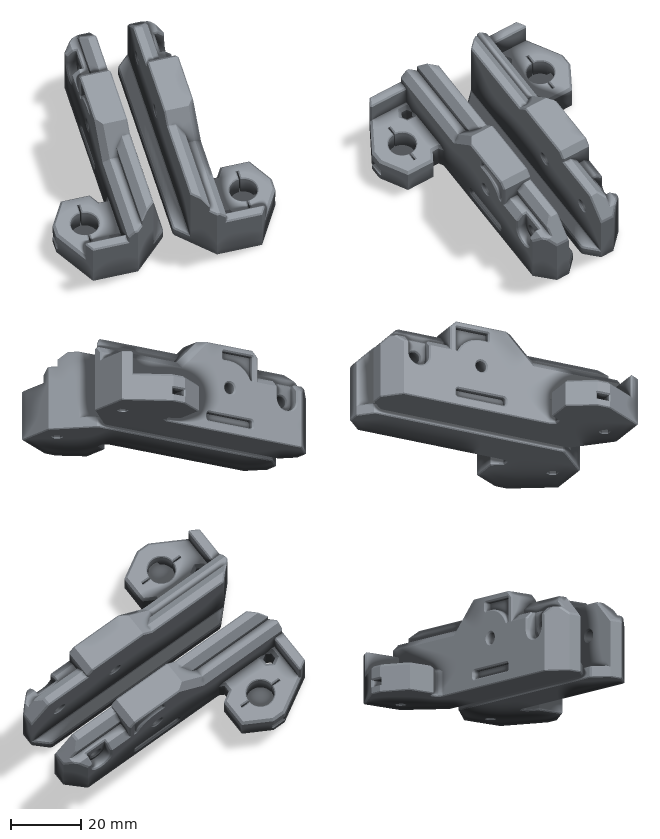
import cadquery as cq
import math


length = 74.8
total_width = 64.85
half_width = total_width / 2
height = 26.0
edge_chamfer = 0.43
bottom_chamfer = 0.3
mouth_angle = 45
tolerance = 0.01

wall_inner = 5.45
wall_outer = 14.6
rail_top = 22.9
rail_slope = 2.1
rail_slope_start = 8.0
rail_step = rail_slope_start + rail_slope
shelf_top = 18.8
shelf_chamfer = 1.95
block_start = 20.05
block_nose = 1.9
block_top_end = 40.1

nose_height = 16.75
nose_depth = 9.6
tail_depth = 11.7

flange_inner = 1.4
flange_height = 3.4

base_height = 8.15
base_chamfer = 0.75
base_start = 50.05
base_side_start = 19.3
base_side_end = 27.9
tip_start = 58.0
tip_end = 61.9
notch_wall = 53.25
notch_low = 15.4
base_root = 13.5
fin_start = 71.65
fin_height = 14.65
fin_corner = 0.6
tan30 = math.tan(math.radians(30))

socket_x = (tip_start + tip_end) / 2
socket_y = 23.5
socket_diameter = 8.1
socket_chamfer = 0.3
socket_floor = 2.0
slit_length = 13.8
slit_width = 0.45
slit_chamfer = 0.4
window_height = 2.0
window_flare = 0.8
window_chamfer = 0.45
hex_x = 68.45
hex_y = 16.4
hex_flats = 3.0
hex_chamfer = 1.0

screw_xs = (10.0, 29.9)
screw_z = 13.55
screw_diameter = 3.4
seat_radius = 3.3
seat_back = 11.5
recess_depth = 2.0
recess_start = 21.9
slot_corner = 0.75
arc_corner = 0.3
slot_end = 37.8
slot_bottom = 2.8
slot_top = 5.2
arc_radius = 8.2
arc_recess_end = 32.25
arc_recess_top = 24.2
arc_recess_bottom = 17.05


def wall_plan():
    """Outline of the upright wall, cut at 45 degrees at the nose and at the tail."""
    nose_cut = wall_outer - nose_depth
    tail_cut = tail_depth - wall_inner
    return (
        cq.Workplane("XY")
        .polyline([
            (0, wall_inner),
            (length - tail_cut, wall_inner),
            (length, tail_depth),
            (length, wall_outer),
            (nose_cut, wall_outer),
            (0, nose_depth),
        ])
        .close()
        .extrude(height)
    )


def wall_side():
    """Side outline that gives the nose its 45 degree slope."""
    return (
        cq.Workplane("XZ")
        .polyline([
            (0, 0),
            (length, 0),
            (length, height),
            (height - nose_height, height),
            (0, nose_height),
        ])
        .close()
        .extrude(-wall_outer)
    )


def rail_section():
    """Stepped section: a low outer shelf and a taller inner rail with a sloped edge."""
    return (
        cq.Workplane("YZ")
        .polyline([
            (wall_inner, 0),
            (wall_outer, 0),
            (wall_outer, shelf_top),
            (rail_step, shelf_top),
            (rail_step, rail_top - rail_slope),
            (rail_slope_start, rail_top),
            (wall_inner, rail_top),
        ])
        .close()
        .extrude(length)
    )


def raised_block():
    """Block across the wall with a chamfered front and a 45 degree rear slope."""
    return (
        cq.Workplane("XZ", origin=(0, wall_inner, 0))
        .polyline([
            (block_start, 0),
            (block_top_end + height, 0),
            (block_top_end, height),
            (block_start + block_nose, height),
            (block_start, height - block_nose),
        ])
        .close()
        .extrude(wall_inner - wall_outer)
    )


def edges_near(body, keep):
    """Edges of a body whose middle and direction pass the test."""
    chosen = [e for e in body.edges().vals() if keep(e.Center(), e.tangentAt(0.5))]
    return body.newObject(chosen)


def is_big_chamfer_edge(middle, direction):
    """Outer top edges of the shelf and of the block's slope."""
    on_outer_face = abs(middle.y - wall_outer) < tolerance
    on_shelf = abs(middle.z - shelf_top) < tolerance
    on_slope = middle.z > shelf_top and middle.x > block_top_end
    return on_outer_face and abs(direction.y) < tolerance and (on_shelf or on_slope)


def is_inner_top_edge(middle, direction):
    """Top outline of the wall on its inner face, without the upright end edges."""
    return (
        abs(middle.y - wall_inner) < tolerance
        and middle.z > nose_height
        and middle.x < length - tail_depth + wall_inner - tolerance
    )


def is_block_front_edge(middle, direction):
    """Outline of the block on the outer face, ahead of its slope."""
    return (
        abs(middle.y - wall_outer) < tolerance
        and middle.z > shelf_top
        and middle.x < block_top_end - shelf_chamfer
        and abs(direction.y) < tolerance
    )


def is_end_edge(middle, direction):
    """Edges where the rail section meets the cut faces of the nose and the tail."""
    upright = abs(direction.z) > 0.75 - tolerance
    across = abs(direction.y) > 0.75 - tolerance
    on_shelf_start = across and abs(middle.z - shelf_top) < tolerance
    on_nose_slope = abs(middle.x - middle.z + nose_height) < tolerance and not on_shelf_start
    on_nose_cut = abs(middle.y - middle.x - nose_depth) < tolerance and not upright
    on_tail_end = abs(middle.x - length) < tolerance and middle.y > tail_depth + tolerance
    on_tail_cut = abs(middle.x - middle.y - length + tail_depth) < tolerance
    on_tail_step = upright and abs(middle.y - rail_step) < tolerance
    on_end = (
        on_nose_slope or on_nose_cut or on_tail_end or (on_tail_cut and (not upright or on_tail_step))
    )
    return on_end and middle.z > 0


def wall():
    """Upright wall with all its chamfers."""
    body = rail_section().union(raised_block()).clean()
    body = edges_near(body, is_big_chamfer_edge).chamfer(shelf_chamfer)
    body = body.intersect(wall_plan()).intersect(wall_side())
    return edges_near(
        body,
        lambda m, d: is_inner_top_edge(m, d) or is_block_front_edge(m, d) or is_end_edge(m, d),
    ).chamfer(edge_chamfer)


def flange():
    """Low flange along the inner foot of the wall, chamfered all round its top."""
    depth = wall_inner - flange_inner
    tail_corner = length - tail_depth + wall_inner
    return (
        cq.Workplane("XY")
        .polyline([
            (0, wall_inner),
            (depth, flange_inner),
            (tail_corner - depth, flange_inner),
            (tail_corner, wall_inner),
        ])
        .close()
        .extrude(flange_height)
        .edges("|Z and <Y")
        .chamfer(edge_chamfer)
        .faces(">Z")
        .edges()
        .chamfer(edge_chamfer)
    )


def tip_slope(x):
    """Y of the sloping outer edge of the base on the tail side."""
    return half_width - (x - tip_end) * tan30


def base():
    """Polygonal outer base with a notch on its nose side."""
    body = (
        cq.Workplane("XY")
        .polyline([
            (base_start, base_side_start),
            (base_start, base_side_end),
            (tip_start, half_width),
            (tip_end, half_width),
            (length, tip_slope(length)),
            (length, base_root),
            (notch_wall - (notch_low - base_root) / tan30, base_root),
            (notch_wall, notch_low),
            (notch_wall, base_side_start - (notch_wall - base_start) * tan30),
        ])
        .close()
        .extrude(base_height)
    )
    return body.faces(">Z").edges().chamfer(base_chamfer)


def fin():
    """Upright fin on the tail side of the base."""
    return (
        cq.Workplane("XY")
        .polyline([
            (fin_start, base_root),
            (length, base_root),
            (length, tip_slope(length)),
            (fin_start, tip_slope(fin_start)),
        ])
        .close()
        .extrude(fin_height)
        .edges("|Z and >Y")
        .chamfer(fin_corner)
        .faces(">Z")
        .edges()
        .chamfer(edge_chamfer)
    )


def hex_hole():
    """Through hexagon with a wide countersink, kept clear of the wall."""
    corner_ratio = 2 / math.sqrt(3)
    hole = (
        cq.Workplane("XY", origin=(hex_x, hex_y, 0))
        .transformed(rotate=(0, 0, 30))
        .polygon(6, hex_flats * corner_ratio)
        .extrude(base_height)
    )
    mouth = (
        cq.Workplane("XY", origin=(hex_x, hex_y, base_height))
        .transformed(rotate=(0, 0, 30))
        .polygon(6, (hex_flats + 2 * hex_chamfer) * corner_ratio)
        .workplane(offset=-hex_chamfer)
        .polygon(6, hex_flats * corner_ratio)
        .loft()
    )
    beyond_wall = (
        cq.Workplane("XY", origin=(0, wall_outer, 0))
        .box(length, half_width, base_height, centered=False)
    )
    return hole.union(mouth).intersect(beyond_wall)


def socket():
    """Blind round socket with a slit across it and chamfered mouths."""
    depth = base_height - socket_floor
    top = cq.Workplane("XY", origin=(socket_x, socket_y, base_height))
    bore = top.circle(socket_diameter / 2).extrude(-depth)
    bore_mouth = (
        top.circle(socket_diameter / 2 + socket_chamfer)
        .workplane(offset=-socket_chamfer)
        .circle(socket_diameter / 2)
        .loft()
    )
    slit = top.rect(slit_length, slit_width).extrude(-depth)
    slit_mouth = (
        top.rect(slit_length, slit_width + 2 * slit_chamfer)
        .workplane(offset=-slit_chamfer)
        .rect(slit_length, slit_width)
        .loft()
    )
    return bore.union(bore_mouth).union(slit).union(slit_mouth)


def socket_window():
    """Opening from the tip of the base into the socket, flared at its mouth."""
    width = tip_end - tip_start
    tip = cq.Workplane(
        "XZ", origin=(socket_x, half_width, socket_floor + window_height / 2)
    )
    passage = tip.rect(width, window_height).extrude(half_width - socket_y)
    flare = (
        tip.center(0, window_chamfer / 2)
        .rect(width + 2 * window_flare, window_height + window_chamfer)
        .workplane(offset=window_chamfer)
        .center(0, -window_chamfer / 2)
        .rect(width, window_height)
        .loft()
    )
    return passage.union(flare)


def outer_face(x=0, z=0):
    """Plane on the wall's outer face; positive depths go into the wall."""
    return cq.Workplane("XZ", origin=(x, wall_outer, z))


def screw_hole(x, outer_end):
    """Hole from the wall's inner face to the given outer end, chamfered at both."""
    radius = screw_diameter / 2
    depth = edge_chamfer
    mouth_radius = radius + depth
    half_section = (
        cq.Workplane("XY")
        .polyline([
            (0, wall_inner),
            (mouth_radius, wall_inner),
            (radius, wall_inner + depth),
            (radius, outer_end - depth),
            (mouth_radius, outer_end),
            (0, outer_end),
        ])
        .close()
    )
    return half_section.revolve(360, (0, 0, 0), (0, 1, 0)).translate((x, 0, screw_z))


def screw_seat():
    """Round-bottomed recess at the nose screw hole, open upwards."""
    tall = height - screw_z
    return (
        outer_face(screw_xs[0], screw_z)
        .moveTo(-seat_radius, tall)
        .lineTo(-seat_radius, 0)
        .threePointArc((0, -seat_radius), (seat_radius, 0))
        .lineTo(seat_radius, tall)
        .close()
        .extrude(wall_outer - seat_back)
    )


def is_seat_rim(middle, direction):
    """Edges where the screw seat opens through the outer face, the slope and the shelf."""
    beside_screw = abs(middle.x - screw_xs[0]) < seat_radius + tolerance
    above_seat_floor = middle.z > screw_z - seat_radius - tolerance
    on_outer_face = abs(middle.y - wall_outer) < tolerance
    on_shelf = abs(middle.z - shelf_top) < tolerance and middle.y > seat_back - tolerance
    on_slope = abs(middle.y - wall_outer + middle.z - shelf_top + shelf_chamfer) < tolerance
    return beside_screw and above_seat_floor and (on_outer_face or on_shelf or on_slope)


def flared_recess(outline, corner):
    """Blind recess in the outer face with rounded corners and a 45 degree mouth."""
    recess = outline.extrude(recess_depth).edges("|Y").fillet(corner)
    mouth = (
        recess.faces(">Y")
        .wires()
        .toPending()
        .offset2D(edge_chamfer)
        .extrude(edge_chamfer, taper=mouth_angle)
    )
    return recess.union(mouth)


def slot_recess():
    """Long low recess near the foot of the wall."""
    return flared_recess(
        outer_face()
        .moveTo((recess_start + slot_end) / 2, (slot_bottom + slot_top) / 2)
        .rect(slot_end - recess_start, slot_top - slot_bottom),
        slot_corner,
    )


def arc_recess():
    """Recess in the block, curved round the second screw hole."""
    hole_x = screw_xs[1]
    arc_top = screw_z + arc_radius
    end_angle = math.acos((arc_recess_bottom - screw_z) / arc_radius)
    arc_end_x = hole_x - arc_radius * math.sin(end_angle)
    arc_middle = (
        hole_x - arc_radius * math.sin(end_angle / 2),
        screw_z + arc_radius * math.cos(end_angle / 2),
    )
    return flared_recess(
        outer_face()
        .moveTo(recess_start, arc_recess_bottom)
        .lineTo(recess_start, arc_recess_top)
        .lineTo(arc_recess_end, arc_recess_top)
        .lineTo(arc_recess_end, arc_top)
        .lineTo(hole_x, arc_top)
        .threePointArc(arc_middle, (arc_end_x, arc_recess_bottom))
        .close(),
        arc_corner,
    )


def side_rail():
    """One complete rail on the +Y side."""
    body = wall().union(flange()).union(base()).union(fin()).clean()
    body = body.faces("<Z").edges().chamfer(bottom_chamfer)
    body = body.cut(hex_hole())
    body = edges_near(body.cut(screw_seat()), is_seat_rim).chamfer(edge_chamfer)
    for feature in (socket(), socket_window(), slot_recess(), arc_recess()):
        body = body.cut(feature)
    for x, outer_end in zip(screw_xs, (seat_back, wall_outer)):
        body = body.cut(screw_hole(x, outer_end))
    return body


far_rail = side_rail()
near_rail = far_rail.mirror("XZ")
result = cq.Compound.makeCompound([far_rail.val(), near_rail.val()])